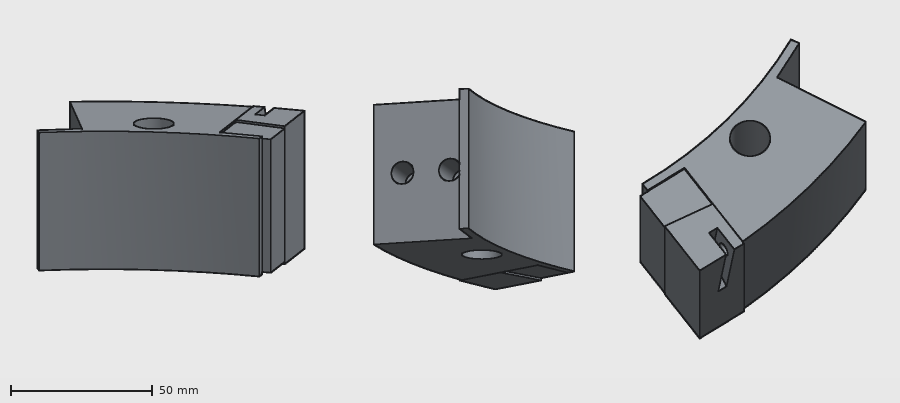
import cadquery as cq
import math

length = 82.6
width = 58.0
height = 50.8

outer_radius = 199.85
inner_radius = 160.2
end_face_top = (0.0, 42.4)
end_face_foot = (15.7, 9.75)
lip_tip_upper = (1.3, 2.9)
lip_tip_lower = (3.0, 0.0)
shelf_end_x = 79.4
shelf_bottom_y = 17.7
through_hole_center = (37.6, 24.45)
through_hole_diameter = 14.3

end_hole_diameter = 8.2
end_hole_depth = 18.2
end_hole_heights_y = (32.8, 17.0)

seat_x = 63.4
seat_y = 20.9
seat_outer_y = 57.1

joint_left_y = 38.6
joint_right_y = 36.2
inner_block_recess = 0.8

slot_left_x = 67.6
slot_width = 3.55
slot_end_y = 47.4
slot_lean = math.radians(8.0)
slot_inner_depth = 19.0
slot_outer_depth = 23.95

wall_hole_diameter = 4.95
wall_hole_depth = 2.5
wall_hole_y = 52.7
wall_hole_drop = 7.0

top_z = height / 2


def make_segment():
    """Curved segment with a projecting lip, a block seat and its holes."""
    body = (
        cq.Workplane("XY")
        .workplane(offset=-top_z)
        .moveTo(*end_face_top)
        .radiusArc((seat_x, seat_outer_y), outer_radius)
        .lineTo(seat_x, seat_y)
        .lineTo(shelf_end_x, seat_y)
        .lineTo(shelf_end_x, shelf_bottom_y)
        .radiusArc(lip_tip_lower, -inner_radius)
        .lineTo(*lip_tip_upper)
        .lineTo(*end_face_foot)
        .close()
        .extrude(height)
    )
    through_hole = (
        cq.Workplane("XY")
        .workplane(offset=-top_z)
        .center(*through_hole_center)
        .circle(through_hole_diameter / 2)
        .extrude(height)
    )
    body = body.cut(through_hole)

    face_dx = end_face_foot[0] - end_face_top[0]
    face_dy = end_face_top[1] - end_face_foot[1]
    inward = cq.Vector(face_dy, face_dx, 0)
    for y in end_hole_heights_y:
        x = end_face_top[0] + (end_face_top[1] - y) * face_dx / face_dy
        end_hole = cq.Solid.makeCylinder(
            end_hole_diameter / 2, end_hole_depth, cq.Vector(x, y, 0), inward
        )
        body = body.cut(cq.Workplane(end_hole))
    return body


def slot_section(y, depth):
    """Leaning parallelogram across the slot, as a closed wire at one Y."""
    shift = depth * math.tan(slot_lean)
    right_x = slot_left_x + slot_width
    corners = [
        cq.Vector(slot_left_x, y, top_z),
        cq.Vector(right_x, y, top_z),
        cq.Vector(right_x + shift, y, top_z - depth),
        cq.Vector(slot_left_x + shift, y, top_z - depth),
    ]
    return cq.Wire.makePolygon(corners, close=True)


def make_outer_block():
    """Full-height block on the +Y side, with a leaning slot in its top."""
    block = (
        cq.Workplane("XY")
        .workplane(offset=-top_z)
        .polyline([(seat_x, joint_left_y), (length, joint_right_y), (length, width), (seat_x, width)])
        .close()
        .extrude(height)
    )
    slot = cq.Solid.makeLoft(
        [slot_section(slot_end_y, slot_inner_depth), slot_section(width, slot_outer_depth)], True
    )
    wall_hole = cq.Solid.makeCylinder(
        wall_hole_diameter / 2,
        wall_hole_depth,
        cq.Vector(slot_left_x + wall_hole_drop * math.tan(slot_lean), wall_hole_y, top_z - wall_hole_drop),
        cq.Vector(-math.cos(slot_lean), 0, -math.sin(slot_lean)),
    )
    return block.cut(cq.Workplane(slot)).cut(cq.Workplane(wall_hole))


def make_inner_block():
    """Block on the -Y side, set back from both ends of the outer block."""
    return (
        cq.Workplane("XY")
        .workplane(offset=-top_z + inner_block_recess)
        .polyline([(seat_x, seat_y), (length, seat_y), (length, joint_right_y), (seat_x, joint_left_y)])
        .close()
        .extrude(height - 2 * inner_block_recess)
    )


segment = make_segment()
outer_block = make_outer_block()
inner_block = make_inner_block()

result = cq.Compound.makeCompound([segment.val(), outer_block.val(), inner_block.val()])